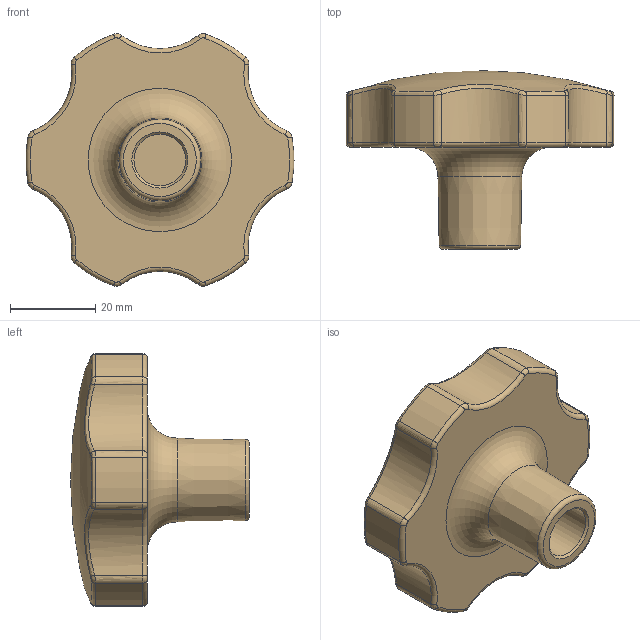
import cadquery as cq
import math

total_height = 42.0

head_radius = 31.5
dome_radius = 100.0
lobe_count = 6
scallop_radius = 14.5
scallop_floor = 26.15
lobe_corner_round = 2.0
rim_round = 1.0

stem_length = 24.0
stem_draft = 1.0
stem_end_radius = 9.55
stem_end_round = 1.0
flare_radius = 7.0
stem_overlap = 1.0

bore_radius = 6.1
bore_chamfer = 0.5
bore_depth = 22.0


def revolve_about_axis(profile):
    """Turn a closed profile, drawn as radius along X and height along Y, about the knob axis."""
    return profile.revolve(360, (0, 0, 0), (0, 1, 0))


def dome_height(radius):
    """Height of the dome surface at a distance from the knob axis."""
    return total_height - dome_radius + math.sqrt(dome_radius**2 - radius**2)


def make_scallop(angle):
    """Cylindrical cutter for one finger scallop, turned about the knob axis."""
    return (
        cq.Workplane("XZ")
        .center(0, scallop_floor + scallop_radius)
        .circle(scallop_radius)
        .extrude(-total_height)
        .rotate((0, 0, 0), (0, 1, 0), angle)
    )


def make_head():
    """Domed disc with scallops around its rim and all edges rounded."""
    profile = (
        cq.Workplane("XY")
        .moveTo(0, stem_length)
        .lineTo(head_radius, stem_length)
        .lineTo(head_radius, dome_height(head_radius))
        .threePointArc((head_radius / 2, dome_height(head_radius / 2)), (0, total_height))
        .close()
    )
    head = revolve_about_axis(profile)
    for index in range(lobe_count):
        head = head.cut(make_scallop(index * 360 / lobe_count))
    head = head.edges("|Y").fillet(lobe_corner_round)
    return head.faces("<Y or >Y").edges().fillet(rim_round)


def make_stem():
    """Tapered stem with a rounded end and a quarter-round flare at the head."""
    flare_start = stem_length - flare_radius
    neck_radius = stem_end_radius + flare_start * math.tan(math.radians(stem_draft))
    flare_outer_radius = neck_radius + flare_radius
    flare_middle = flare_radius * math.sqrt(0.5)
    profile = (
        cq.Workplane("XY")
        .lineTo(stem_end_radius, 0)
        .lineTo(neck_radius, flare_start)
        .threePointArc(
            (flare_outer_radius - flare_middle, flare_start + flare_middle),
            (flare_outer_radius, stem_length),
        )
        .lineTo(flare_outer_radius, stem_length + stem_overlap)
        .lineTo(0, stem_length + stem_overlap)
        .close()
    )
    stem = revolve_about_axis(profile)
    return stem.faces("<Y").edges().fillet(stem_end_round)


def make_bore():
    """Cutter for the blind bore with a chamfered mouth."""
    profile = (
        cq.Workplane("XY")
        .lineTo(bore_radius + bore_chamfer, 0)
        .lineTo(bore_radius, bore_chamfer)
        .lineTo(bore_radius, bore_depth)
        .lineTo(0, bore_depth)
        .close()
    )
    return revolve_about_axis(profile)


result = make_head().union(make_stem()).cut(make_bore())